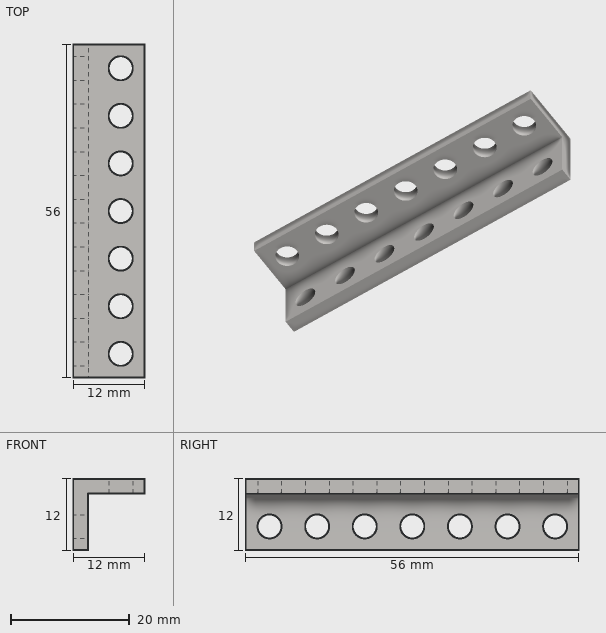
import cadquery as cq

leg_width = 12.0
length = 56.0
thickness = 2.5
hole_diameter = 4.0
hole_pitch = 8.0
hole_from_corner = 8.0

hole_count = int(length / hole_pitch)


def angle_profile():
    """L-section with its outer corner at the origin, extruded along Y."""
    return (
        cq.Workplane("XZ", origin=(0, length / 2, 0))
        .moveTo(0, 0)
        .lineTo(leg_width, 0)
        .lineTo(leg_width, -thickness)
        .lineTo(thickness, -thickness)
        .lineTo(thickness, -leg_width)
        .lineTo(0, -leg_width)
        .close()
        .extrude(length)
    )


def top_leg_holes():
    """Row of vertical cutters through the horizontal leg."""
    return (
        cq.Workplane("XY", origin=(hole_from_corner, 0, -thickness))
        .rarray(1, hole_pitch, 1, hole_count)
        .circle(hole_diameter / 2)
        .extrude(thickness)
    )


def side_leg_holes():
    """Row of cutters along X through the vertical leg."""
    return (
        cq.Workplane("YZ", origin=(0, 0, -hole_from_corner))
        .rarray(hole_pitch, 1, hole_count, 1)
        .circle(hole_diameter / 2)
        .extrude(thickness)
    )


result = angle_profile().cut(top_leg_holes()).cut(side_leg_holes())